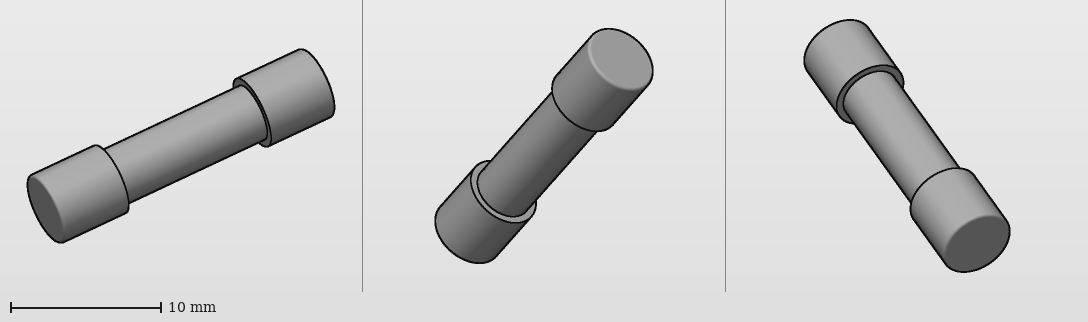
import cadquery as cq

overall_length = 21.0
cap_diameter = 5.0
cap_length = 5.0
cap_edge_radius = 0.2
tube_diameter = 4.0

tube_length = overall_length - 2 * cap_length


def cylinder_along_y(diameter, length):
    """Cylinder on the Y axis, centred on the origin."""
    start_plane = cq.Workplane("XZ", origin=(0, length / 2, 0))
    return start_plane.circle(diameter / 2).extrude(length)


def make_tube():
    """Plain fuse body that fills the space between the two end caps."""
    return cylinder_along_y(tube_diameter, tube_length)


def make_end_cap(side):
    """End cap with a rounded outer rim; side is -1 for the -Y end and +1 for the +Y end."""
    outer_face = ">Y" if side > 0 else "<Y"
    cap = cylinder_along_y(cap_diameter, cap_length)
    cap = cap.faces(outer_face).edges().fillet(cap_edge_radius)
    return cap.translate((0, side * (overall_length - cap_length) / 2, 0))


tube = make_tube()
end_caps = [make_end_cap(side) for side in (-1, 1)]

result = cq.Compound.makeCompound([tube.val(), *[cap.val() for cap in end_caps]])